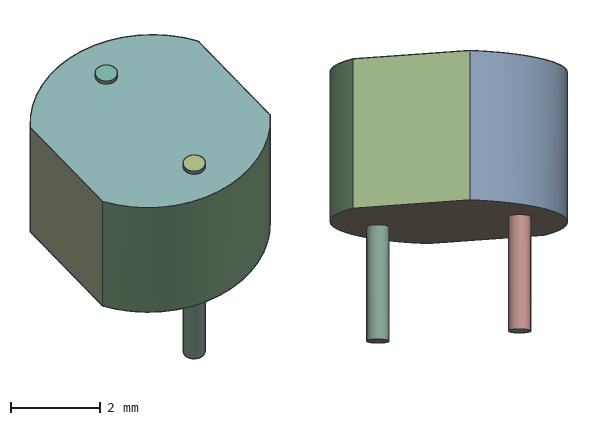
import cadquery as cq

body_length = 5.3
body_width = 4.6
body_height = 3.4
flat_length = 2.8

pin_diameter = 0.5
pin_pitch = 3.4
pin_above_body = 0.1
pin_below_body = 2.6


def make_body():
    """Block with its underside at Z = 0, flats joined by bulging arcs."""
    half_length = body_length / 2
    half_width = body_width / 2
    half_flat = flat_length / 2
    return (
        cq.Workplane("XY")
        .moveTo(-half_flat, -half_width)
        .lineTo(half_flat, -half_width)
        .threePointArc((half_length, 0), (half_flat, half_width))
        .lineTo(-half_flat, half_width)
        .threePointArc((-half_length, 0), (-half_flat, -half_width))
        .close()
        .extrude(body_height)
    )


def make_pins():
    """Two pins on the X axis, standing slightly proud of the top face."""
    half_pitch = pin_pitch / 2
    pin_length = pin_below_body + body_height + pin_above_body
    return (
        cq.Workplane("XY", origin=(0, 0, -pin_below_body))
        .pushPoints([(-half_pitch, 0), (half_pitch, 0)])
        .circle(pin_diameter / 2)
        .extrude(pin_length)
    )


result = make_body().union(make_pins())